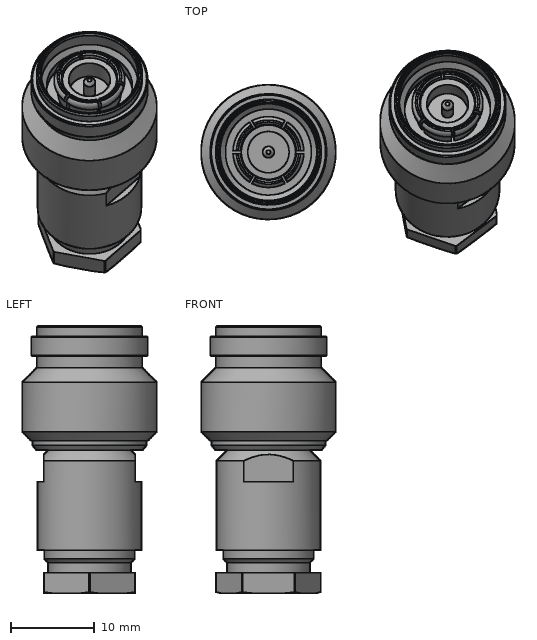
import cadquery as cq
import math

TOTAL_HEIGHT = 32.1

HEX_ACROSS_FLATS = 11.0
HEX_CORNER_RADIUS = 6.3
HEX_HEIGHT = 2.5
HEX_EDGE_ANGLE = 15.0
HEX_FACE_RADIUS = 5.7

NECK_RADIUS = 5.0
SHOULDER_RADIUS = 5.45
SHOULDER_CHAMFER = SHOULDER_RADIUS - NECK_RADIUS
SHOULDER_BOTTOM = 3.7

BODY_RADIUS = 6.25
BODY_BOTTOM = 5.2
BODY_CONE_BOTTOM = 15.92
FLAT_SPACING = 11.0
FLAT_BOTTOM = 13.4

SLEEVE_BOTTOM = 17.2
SLEEVE_RADIUS = 8.1
SLEEVE_STRAIGHT_BOTTOM = 19.4
SLEEVE_STRAIGHT_TOP = 25.35
TAIL_RADIUS = 6.85
TAIL_CONE_TOP = 18.3
TAIL_CHAMFER_WIDTH = 0.45
TAIL_CHAMFER_HEIGHT = 0.55
FRONT_RADIUS = 6.35
FRONT_CHAMFER = 0.2

BAND_RADIUS = 7.0
BAND_BOTTOM = 28.45
BAND_TOP = 30.85
BAND_CHAMFER = 0.15

BORE_RADIUS = 5.8
BORE_CHAMFER_WIDTH = 0.15
BORE_CHAMFER_HEIGHT = 0.25
BORE_DEPTH = 2.05
WELL_RADIUS = 5.16
SEAT_DEPTH = BORE_DEPTH + BORE_RADIUS - WELL_RADIUS
WELL_DEPTH = 4.0

RING_INNER_RADIUS = 3.25
RING_NECK_RADIUS = 3.8
RING_BULGE_RADIUS = 4.25
RING_TOP_DEPTH = 0.8
RING_BULGE_DEPTH = 1.35
RING_BULGE_END_DEPTH = 2.1
RING_LIP_INNER = 3.62
RING_LIP_OUTER = 3.85
RING_CHAMFER_RADIUS = 3.36
RING_CHAMFER_DEPTH = 0.94
SLOT_COUNT = 6
SLOT_WIDTH = 0.35

INSULATOR_DEPTH = 1.35
INSULATOR_BORE_RADIUS = 2.48

PIN_RADIUS = 0.69
PIN_TIP_RADIUS = 0.25
PIN_TIP_DEPTH = 1.42
PIN_NOSE_RADIUS = 0.51
PIN_NOSE_DEPTH = 1.59
PIN_SHOULDER_DEPTH = 1.85

FLOOR_HEIGHT = TOTAL_HEIGHT - WELL_DEPTH


def revolve(profile):
    """Close an (r, z) half-profile and turn it about the Z axis."""
    return profile.close().revolve(360, (0, 0, 0), (0, 1, 0))


def height_at(depth):
    """Height of a point lying at the given depth below the front face."""
    return TOTAL_HEIGHT - depth


def make_hex_nut():
    across_corners = HEX_ACROSS_FLATS / math.cos(math.pi / 6)
    prism = cq.Workplane("XY").polygon(6, across_corners).extrude(HEX_HEIGHT)
    edge_rise = (HEX_CORNER_RADIUS - HEX_FACE_RADIUS) * math.tan(math.radians(HEX_EDGE_ANGLE))
    turned_blank = revolve(
        cq.Workplane("XZ").polyline([
            (0, 0),
            (HEX_FACE_RADIUS, 0),
            (HEX_CORNER_RADIUS, edge_rise),
            (HEX_CORNER_RADIUS, HEX_HEIGHT),
            (0, HEX_HEIGHT),
        ])
    )
    return prism.intersect(turned_blank)


def make_cable_body():
    cone_rise = SLEEVE_BOTTOM - BODY_CONE_BOTTOM
    body = revolve(
        cq.Workplane("XZ").polyline([
            (0, HEX_HEIGHT),
            (NECK_RADIUS, HEX_HEIGHT),
            (NECK_RADIUS, SHOULDER_BOTTOM),
            (SHOULDER_RADIUS, SHOULDER_BOTTOM + SHOULDER_CHAMFER),
            (SHOULDER_RADIUS, BODY_BOTTOM),
            (BODY_RADIUS, BODY_BOTTOM),
            (BODY_RADIUS, BODY_CONE_BOTTOM),
            (BODY_RADIUS - cone_rise, SLEEVE_BOTTOM),
            (0, SLEEVE_BOTTOM),
        ])
    )
    for side in (-1, 1):
        flat_depth = BODY_RADIUS - FLAT_SPACING / 2
        cutter = (
            cq.Workplane("XY", origin=(0, side * (FLAT_SPACING / 2 + flat_depth / 2), FLAT_BOTTOM))
            .rect(2 * BODY_RADIUS, flat_depth)
            .extrude(SLEEVE_BOTTOM - FLAT_BOTTOM)
        )
        body = body.cut(cutter)
    return body


def make_sleeve():
    """Coupling sleeve with its front socket open down to the well floor."""
    tail_cone_radius = SLEEVE_RADIUS - (SLEEVE_STRAIGHT_BOTTOM - TAIL_CONE_TOP)
    cone_top = SLEEVE_STRAIGHT_TOP + SLEEVE_RADIUS - FRONT_RADIUS
    return revolve(
        cq.Workplane("XZ").polyline([
            (0, SLEEVE_BOTTOM),
            (TAIL_RADIUS - TAIL_CHAMFER_WIDTH, SLEEVE_BOTTOM),
            (TAIL_RADIUS, SLEEVE_BOTTOM + TAIL_CHAMFER_HEIGHT),
            (TAIL_RADIUS, TAIL_CONE_TOP),
            (tail_cone_radius, TAIL_CONE_TOP),
            (SLEEVE_RADIUS, SLEEVE_STRAIGHT_BOTTOM),
            (SLEEVE_RADIUS, SLEEVE_STRAIGHT_TOP),
            (FRONT_RADIUS, cone_top),
            (FRONT_RADIUS, BAND_BOTTOM),
            (BAND_RADIUS - BAND_CHAMFER, BAND_BOTTOM),
            (BAND_RADIUS, BAND_BOTTOM + BAND_CHAMFER),
            (BAND_RADIUS, BAND_TOP - BAND_CHAMFER),
            (BAND_RADIUS - BAND_CHAMFER, BAND_TOP),
            (FRONT_RADIUS, BAND_TOP),
            (FRONT_RADIUS, TOTAL_HEIGHT - FRONT_CHAMFER),
            (FRONT_RADIUS - FRONT_CHAMFER, TOTAL_HEIGHT),
            (BORE_RADIUS + BORE_CHAMFER_WIDTH, TOTAL_HEIGHT),
            (BORE_RADIUS, height_at(BORE_CHAMFER_HEIGHT)),
            (BORE_RADIUS, height_at(BORE_DEPTH)),
            (WELL_RADIUS, height_at(SEAT_DEPTH)),
            (WELL_RADIUS, FLOOR_HEIGHT),
            (0, FLOOR_HEIGHT),
        ])
    )


def make_contact_ring():
    """Ring of sprung fingers with a rounded outer bulge, parted by radial slots."""
    ring = revolve(
        cq.Workplane("XZ")
        .moveTo(RING_INNER_RADIUS, FLOOR_HEIGHT)
        .lineTo(RING_NECK_RADIUS, FLOOR_HEIGHT)
        .lineTo(RING_NECK_RADIUS, height_at(RING_BULGE_END_DEPTH))
        .threePointArc(
            (RING_BULGE_RADIUS, height_at(RING_BULGE_DEPTH)),
            (RING_LIP_OUTER, height_at(RING_TOP_DEPTH)),
        )
        .lineTo(RING_LIP_INNER, height_at(RING_TOP_DEPTH))
        .lineTo(RING_CHAMFER_RADIUS, height_at(RING_CHAMFER_DEPTH))
        .lineTo(RING_INNER_RADIUS, height_at(INSULATOR_DEPTH))
    )
    ring_height = WELL_DEPTH - RING_TOP_DEPTH
    for index in range(SLOT_COUNT):
        slot = (
            cq.Workplane("XY", origin=(0, 0, FLOOR_HEIGHT))
            .center(WELL_RADIUS / 2, 0)
            .rect(WELL_RADIUS, SLOT_WIDTH)
            .extrude(ring_height)
            .rotate((0, 0, 0), (0, 0, 1), index * 360 / SLOT_COUNT)
        )
        ring = ring.cut(slot)
    return ring


def make_insulator():
    return (
        cq.Workplane("XY", origin=(0, 0, FLOOR_HEIGHT))
        .circle(RING_INNER_RADIUS)
        .circle(INSULATOR_BORE_RADIUS)
        .extrude(WELL_DEPTH - INSULATOR_DEPTH)
    )


def make_centre_pin():
    """Straight pin with a rounded nose and a small flat tip."""
    return revolve(
        cq.Workplane("XZ")
        .moveTo(0, FLOOR_HEIGHT)
        .lineTo(PIN_RADIUS, FLOOR_HEIGHT)
        .lineTo(PIN_RADIUS, height_at(PIN_SHOULDER_DEPTH))
        .threePointArc(
            (PIN_NOSE_RADIUS, height_at(PIN_NOSE_DEPTH)),
            (PIN_TIP_RADIUS, height_at(PIN_TIP_DEPTH)),
        )
        .lineTo(0, height_at(PIN_TIP_DEPTH))
    )


result = (
    make_hex_nut()
    .union(make_cable_body())
    .union(make_sleeve())
    .union(make_insulator())
    .union(make_contact_ring())
    .union(make_centre_pin())
)